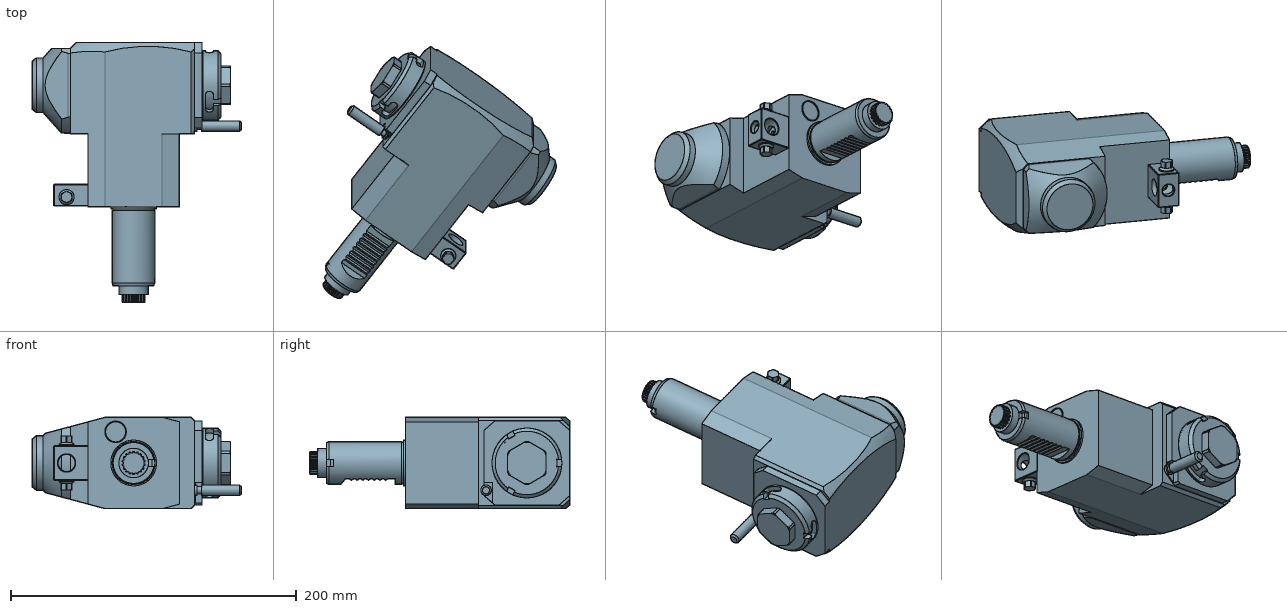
import cadquery as cq
import math


BODY_HALF_HEIGHT = 32.0
BODY_BACK = 115.0
TAPER_START = 20.0
TAPER_SLOPE = math.tan(math.radians(15))
NECK_HALF_WIDTH = 32.0
HEAD_BOTTOM = 51.0
HEAD_LEFT = -44.2
HEAD_RIGHT = 42.5
HEAD_END_CHAMFER = 2.2
BACK_CHAMFER = 4.0

HEAD_AXIS_Y = 85.0
BARREL_CENTER_X = 10.0
BARREL_RADIUS = 42.0
BARREL_ARC_RADIUS = 190.0

DOME_RADIUS = 33.6
DOME_SHOULDER_X = -50.4
DOME_STEP_X = -45.8
DOME_BACK = 110.8
CAP_RADIUS = 19.2
CAP_FACE_RADIUS = 16.8
CAP_START_X = -63.3
CAP_CHAMFER_X = -68.1
CAP_END_X = -71.0

PLATE_END_X = 48.0
PLATE_HALF_Y = 30.0
PLATE_HALF_Z = 29.4
PLATE_CORNER_Y = 22.5
PLATE_CORNER_Z = 22.8
PLATE_POCKET_START_X = 43.3
PLATE_POCKET_HALF_Y = 24.1
PLATE_POCKET_TOP_Z = -13.8
RING_RADIUS = 24.4
RING_START_X = 48.5
RING_NECK_RADIUS = 23.4
RING_END_X = 61.2
RING_CHAMFER = 2.2
RING_FLOOR_RADIUS = 21.0
RING_SLOT_COUNT = 3
RING_SLOT_START_X = 50.2
RING_SLOT_WIDTH = 5.6
RING_SLOT_SPAN = 16.8
RING_NOTCH_WIDTH = 5.0
HEX_APOTHEM = 13.5
HEX_CORNER_RADIUS = 15.1
HEX_END_X = 67.9
HEX_END_CHAMFER = 0.6

PIN_Y = 56.4
PIN_Z = -19.1
PIN_RADIUS = 3.7
PIN_NECK_RADIUS = 2.5
PIN_NECK_START_X = 44.5
PIN_NECK_END_X = 47.6
PIN_END_X = 75.38
PIN_CHAMFER = 1.2

SHANK_RADIUS = 15.0
SHANK_END = 55.4
SHANK_CHAMFER_LENGTH = 2.0
SHANK_CHAMFER_DEPTH = 0.7
COLLAR_RADIUS = 16.0
COLLAR_LENGTH = 1.4
RELIEF_RADIUS = 14.6
RELIEF_END = 2.7
DRIVE_NECK_RADIUS = 10.3
DRIVE_NECK_END = 61.4
SPLINE_END = 67.0
SPLINE_RADIUS = 8.1
SPLINE_ROOT_RADIUS = 7.2
SPLINE_CHAMFER = 0.6
SPLINE_TEETH = 18
SPLINE_TIP_HALF_WIDTH = 0.15
SPLINE_BASE_HALF_WIDTH = 0.35
KEY_SLOT_WIDTH = 5.0
KEY_SLOT_LENGTH = 5.0
KEY_SLOT_STEP_X = 13.0
KEY_SLOT_INNER_LENGTH = 3.0

RACK_START = 7.3
RACK_FLAT_END = 42.0
RACK_SLOPE_END = 45.3
RACK_DEPTH_Z = -11.2
RACK_FIRST_TOOTH = 13.8
RACK_PITCH = 4.0
RACK_TEETH = 7
TOOTH_HEIGHT = 0.9
TOOTH_HALF_WIDTH = 1.3

PLUG_X = -12.6
PLUG_Z = 21.8
PLUG_RADIUS = 7.5
PLUG_GAP = 0.5
PLUG_GAP_DEPTH = 0.5

BLOCK_LEFT = -56.0
BLOCK_FRONT = 0.5
BLOCK_BACK = 15.8
BLOCK_HALF_HEIGHT = 12.2
BLOCK_CHAMFER = 0.5
BLOCK_BORE_X = -46.9
BLOCK_BORE_RADIUS = 6.0
SIDE_HOLE_Y = 8.3
SIDE_HOLE_RADIUS = 4.3
SIDE_HOLE_END_X = -40.0
BORE_CHAMFER = 0.4
SOCKET_ACROSS_CORNERS = 3.0
SOCKET_DEPTH = 2.0
SCREW_Y = 6.8
SCREW_FLANGE_RADIUS = 5.3
SCREW_FLANGE_HEIGHT = 0.8
SCREW_CONE_RADIUS = 3.7
SCREW_CONE_TOP = 14.4
SCREW_HEX_ACROSS_CORNERS = 8.7
SCREW_HEX_CORNER_RADIUS = 4.15
SCREW_TOP = 18.9
SCREW_SEAT_DEPTH = 1.0


def box(x0, x1, y0, y1, z0, z1):
    """Box between the given limits."""
    return cq.Workplane("XY").box(x1 - x0, y1 - y0, z1 - z0, centered=False).translate((x0, y0, z0))


def rod_x(radius, x0, x1, y=HEAD_AXIS_Y, z=0.0):
    """Cylinder along X."""
    return cq.Workplane("YZ", origin=(x0, y, z)).circle(radius).extrude(x1 - x0)


def taper_height(x):
    """Half height of the tapered body side at a distance from the shank axis."""
    return BODY_HALF_HEIGHT - (abs(x) - TAPER_START) * TAPER_SLOPE


def extrude_along_y(points, y0, y1):
    """Prism with an XZ outline running from y0 to y1."""
    return cq.Workplane("XZ", origin=(0, y0, 0)).polyline(points).close().extrude(y0 - y1)


def mirrored_outline(upper):
    """Closed outline from its upper half and the mirror image below it."""
    return upper + [(x, -z) for x, z in reversed(upper)]


def neck():
    side_height = taper_height(NECK_HALF_WIDTH)
    upper = [
        (-NECK_HALF_WIDTH, side_height),
        (-TAPER_START, BODY_HALF_HEIGHT),
        (TAPER_START, BODY_HALF_HEIGHT),
        (NECK_HALF_WIDTH, side_height),
    ]
    return extrude_along_y(mirrored_outline(upper), 0, HEAD_AXIS_Y)


def barrel():
    """Turned envelope that trims the back corners of the head."""
    def radius_at(x):
        rise = math.sqrt(BARREL_ARC_RADIUS**2 - (x - BARREL_CENTER_X) ** 2)
        return BARREL_RADIUS - BARREL_ARC_RADIUS + rise

    return (
        cq.Workplane("XY")
        .moveTo(HEAD_LEFT, 0)
        .lineTo(HEAD_LEFT, radius_at(HEAD_LEFT))
        .threePointArc((BARREL_CENTER_X, BARREL_RADIUS), (HEAD_RIGHT, radius_at(HEAD_RIGHT)))
        .lineTo(HEAD_RIGHT, 0)
        .close()
        .revolve(360, (0, 0, 0), (1, 0, 0))
        .translate((0, HEAD_AXIS_Y, 0))
    )


def head():
    upper = [
        (HEAD_LEFT, taper_height(HEAD_LEFT)),
        (-TAPER_START, BODY_HALF_HEIGHT),
        (HEAD_RIGHT - HEAD_END_CHAMFER, BODY_HALF_HEIGHT),
        (HEAD_RIGHT, BODY_HALF_HEIGHT - HEAD_END_CHAMFER),
    ]
    outline = mirrored_outline(upper)
    front = extrude_along_y(outline, HEAD_BOTTOM, HEAD_AXIS_Y)
    back = extrude_along_y(outline, HEAD_AXIS_Y, BODY_BACK).intersect(barrel())
    corner = (
        cq.Workplane("XY", origin=(0, 0, -BODY_HALF_HEIGHT))
        .polyline([
            (HEAD_LEFT, BODY_BACK - BACK_CHAMFER),
            (HEAD_LEFT + BACK_CHAMFER, BODY_BACK),
            (HEAD_LEFT, BODY_BACK),
        ])
        .close()
        .extrude(2 * BODY_HALF_HEIGHT)
    )
    return front.union(back.cut(corner))


def dome():
    turned = (
        cq.Workplane("XY")
        .polyline([
            (HEAD_LEFT, 0),
            (HEAD_LEFT, DOME_RADIUS),
            (DOME_SHOULDER_X, DOME_RADIUS),
            (CAP_START_X, CAP_RADIUS),
            (CAP_CHAMFER_X, CAP_RADIUS),
            (CAP_END_X, CAP_FACE_RADIUS),
            (CAP_END_X, 0),
        ])
        .close()
        .revolve(360, (0, 0, 0), (1, 0, 0))
        .translate((0, HEAD_AXIS_Y, 0))
    )
    upper = [
        (CAP_END_X, CAP_RADIUS),
        (CAP_START_X, CAP_RADIUS),
        (CAP_START_X, taper_height(CAP_START_X)),
        (DOME_STEP_X, taper_height(DOME_STEP_X)),
        (HEAD_LEFT, taper_height(DOME_STEP_X)),
    ]
    envelope = extrude_along_y(mirrored_outline(upper), HEAD_AXIS_Y - DOME_RADIUS, DOME_BACK)
    return turned.intersect(envelope)


def plate():
    corners = [
        (PLATE_HALF_Y, PLATE_CORNER_Z),
        (PLATE_CORNER_Y, PLATE_HALF_Z),
        (-PLATE_CORNER_Y, PLATE_HALF_Z),
        (-PLATE_HALF_Y, PLATE_CORNER_Z),
    ]
    body = (
        cq.Workplane("YZ", origin=(HEAD_RIGHT, HEAD_AXIS_Y, 0))
        .polyline(mirrored_outline(corners))
        .close()
        .extrude(PLATE_END_X - HEAD_RIGHT)
    )
    pin_pocket = box(
        PLATE_POCKET_START_X, PLATE_END_X,
        HEAD_AXIS_Y - PLATE_HALF_Y, HEAD_AXIS_Y - PLATE_POCKET_HALF_Y,
        -PLATE_HALF_Z, PLATE_POCKET_TOP_Z,
    )
    return body.cut(pin_pocket)


def clamping_ring():
    ring = rod_x(RING_RADIUS, RING_START_X, RING_END_X).faces(">X").chamfer(RING_CHAMFER)
    ring = ring.union(rod_x(RING_NECK_RADIUS, PLATE_END_X, RING_START_X))
    slot_x = RING_SLOT_START_X + RING_SLOT_WIDTH / 2
    slot = (
        cq.Workplane("XZ", origin=(slot_x, RING_RADIUS, 0))
        .slot2D(RING_SLOT_SPAN, RING_SLOT_WIDTH, 90)
        .extrude(RING_RADIUS)
    )
    half_notch = RING_NOTCH_WIDTH / 2
    slot = slot.union(box(slot_x, RING_END_X, 0, RING_RADIUS, -half_notch, half_notch))
    core = rod_x(RING_FLOOR_RADIUS, PLATE_END_X, RING_END_X, 0)
    slot = slot.cut(core)
    for index in range(RING_SLOT_COUNT):
        turned_slot = slot.rotate((0, 0, 0), (1, 0, 0), index * 360 / RING_SLOT_COUNT)
        ring = ring.cut(turned_slot.translate((0, HEAD_AXIS_Y, 0)))
    return ring


def hexagon():
    across_corners = 2 * HEX_APOTHEM / math.cos(math.pi / 6)
    prism = (
        cq.Workplane("YZ", origin=(RING_END_X, HEAD_AXIS_Y, 0))
        .transformed(rotate=(0, 0, 90))
        .polygon(6, across_corners)
        .extrude(HEX_END_X - RING_END_X)
    )
    rounding = rod_x(HEX_CORNER_RADIUS, RING_END_X, HEX_END_X).faces(">X").chamfer(HEX_END_CHAMFER)
    return prism.intersect(rounding)


def locating_pin():
    seat = rod_x(PIN_RADIUS, HEAD_RIGHT, PIN_NECK_START_X, PIN_Y, PIN_Z)
    pin_neck = rod_x(PIN_NECK_RADIUS, HEAD_RIGHT, PIN_NECK_END_X, PIN_Y, PIN_Z)
    pin = rod_x(PIN_RADIUS, PIN_NECK_END_X, PIN_END_X, PIN_Y, PIN_Z)
    return seat.union(pin_neck).union(pin.faces(">X").chamfer(PIN_CHAMFER))


def rack_cut():
    """Flat on the underside of the shank, leaving a row of clamping teeth."""
    tooth_tip = RACK_DEPTH_Z - TOOTH_HEIGHT
    outline = [(-RACK_START, -SHANK_RADIUS), (-RACK_START, RACK_DEPTH_Z)]
    for index in range(RACK_TEETH):
        tooth_y = -RACK_FIRST_TOOTH - index * RACK_PITCH
        outline.append((tooth_y + TOOTH_HALF_WIDTH, RACK_DEPTH_Z))
        outline.append((tooth_y, tooth_tip))
        outline.append((tooth_y - TOOTH_HALF_WIDTH, RACK_DEPTH_Z))
    outline.append((-RACK_FLAT_END, RACK_DEPTH_Z))
    outline.append((-RACK_SLOPE_END, -SHANK_RADIUS))
    return (
        cq.Workplane("YZ")
        .polyline(outline)
        .close()
        .extrude(SHANK_RADIUS, both=True)
    )


def shank():
    turned = (
        cq.Workplane("XY")
        .polyline([
            (0, 0),
            (COLLAR_RADIUS, 0),
            (COLLAR_RADIUS, -COLLAR_LENGTH),
            (RELIEF_RADIUS, -COLLAR_LENGTH),
            (RELIEF_RADIUS, -RELIEF_END),
            (SHANK_RADIUS, -RELIEF_END),
            (SHANK_RADIUS, SHANK_CHAMFER_LENGTH - SHANK_END),
            (SHANK_RADIUS - SHANK_CHAMFER_DEPTH, -SHANK_END),
            (DRIVE_NECK_RADIUS, -SHANK_END),
            (DRIVE_NECK_RADIUS, -DRIVE_NECK_END),
            (0, -DRIVE_NECK_END),
        ])
        .close()
        .revolve(360, (0, 0, 0), (0, 1, 0))
    )
    half_key = KEY_SLOT_WIDTH / 2
    outer_key = box(
        KEY_SLOT_STEP_X, COLLAR_RADIUS,
        -SHANK_END, KEY_SLOT_LENGTH - SHANK_END,
        -half_key, half_key,
    )
    inner_key = box(
        DRIVE_NECK_RADIUS, KEY_SLOT_STEP_X,
        -SHANK_END, KEY_SLOT_INNER_LENGTH - SHANK_END,
        -half_key, half_key,
    )
    return turned.cut(outer_key).cut(inner_key).cut(rack_cut())


def spline():
    outline = []
    step = 2 * math.pi / SPLINE_TEETH
    tooth_profile = [
        (-SPLINE_BASE_HALF_WIDTH, SPLINE_ROOT_RADIUS),
        (-SPLINE_TIP_HALF_WIDTH, SPLINE_RADIUS),
        (SPLINE_TIP_HALF_WIDTH, SPLINE_RADIUS),
        (SPLINE_BASE_HALF_WIDTH, SPLINE_ROOT_RADIUS),
    ]
    for index in range(SPLINE_TEETH):
        for offset, radius in tooth_profile:
            angle = (index + offset) * step
            outline.append((radius * math.sin(angle), radius * math.cos(angle)))
    toothed = extrude_along_y(outline, -SPLINE_END, -DRIVE_NECK_END)
    envelope = (
        cq.Workplane("XZ", origin=(0, -DRIVE_NECK_END, 0))
        .circle(SPLINE_RADIUS)
        .extrude(SPLINE_END - DRIVE_NECK_END)
        .faces("<Y")
        .chamfer(SPLINE_CHAMFER)
    )
    return toothed.intersect(envelope)


def plug_gap():
    return (
        cq.Workplane("XZ", origin=(PLUG_X, 0, PLUG_Z))
        .circle(PLUG_RADIUS)
        .circle(PLUG_RADIUS - PLUG_GAP)
        .extrude(-PLUG_GAP_DEPTH)
    )


def coolant_block():
    block = box(
        BLOCK_LEFT, -NECK_HALF_WIDTH, BLOCK_FRONT, BLOCK_BACK, -BLOCK_HALF_HEIGHT, BLOCK_HALF_HEIGHT
    )
    block = block.edges("<X or |X").chamfer(BLOCK_CHAMFER)
    bore = (
        cq.Workplane("XZ", origin=(BLOCK_BORE_X, BLOCK_BACK, 0))
        .circle(BLOCK_BORE_RADIUS)
        .extrude(BLOCK_BACK - BLOCK_FRONT)
    )
    side_hole = rod_x(SIDE_HOLE_RADIUS, BLOCK_LEFT, SIDE_HOLE_END_X, SIDE_HOLE_Y)
    block = block.cut(bore).cut(side_hole)
    block = block.faces("<Y").edges("%CIRCLE").chamfer(BORE_CHAMFER)
    block = block.faces("<X").edges("%CIRCLE").chamfer(BORE_CHAMFER)
    socket = (
        cq.Workplane("YZ", origin=(SIDE_HOLE_END_X, SIDE_HOLE_Y, 0))
        .polygon(6, SOCKET_ACROSS_CORNERS)
        .extrude(SOCKET_DEPTH)
    )
    top_screw = screw()
    bottom_screw = top_screw.mirror("XY")
    return block.cut(socket).union(top_screw).union(bottom_screw)


def screw():
    """Hexagon screw with a coned flange on the upper face of the coolant block."""
    flange_top = BLOCK_HALF_HEIGHT + SCREW_FLANGE_HEIGHT
    base = BLOCK_HALF_HEIGHT - SCREW_SEAT_DEPTH
    flange = (
        cq.Workplane("XZ")
        .polyline([
            (0, base),
            (SCREW_FLANGE_RADIUS, base),
            (SCREW_FLANGE_RADIUS, flange_top),
            (SCREW_CONE_RADIUS, SCREW_CONE_TOP),
            (0, SCREW_CONE_TOP),
        ])
        .close()
        .revolve(360, (0, 0, 0), (0, 1, 0))
        .translate((BLOCK_BORE_X, SCREW_Y, 0))
    )
    head_hex = (
        cq.Workplane("XY", origin=(BLOCK_BORE_X, SCREW_Y, SCREW_CONE_TOP))
        .transformed(rotate=(0, 0, 90))
        .polygon(6, SCREW_HEX_ACROSS_CORNERS)
        .extrude(SCREW_TOP - SCREW_CONE_TOP)
    )
    rounding = (
        cq.Workplane("XY", origin=(BLOCK_BORE_X, SCREW_Y, SCREW_CONE_TOP))
        .circle(SCREW_HEX_CORNER_RADIUS)
        .extrude(SCREW_TOP - SCREW_CONE_TOP)
    )
    return flange.union(head_hex.intersect(rounding))


result = neck().union(head()).cut(plug_gap())
for feature in (dome, plate, clamping_ring, hexagon, locating_pin, shank, spline, coolant_block):
    result = result.union(feature())